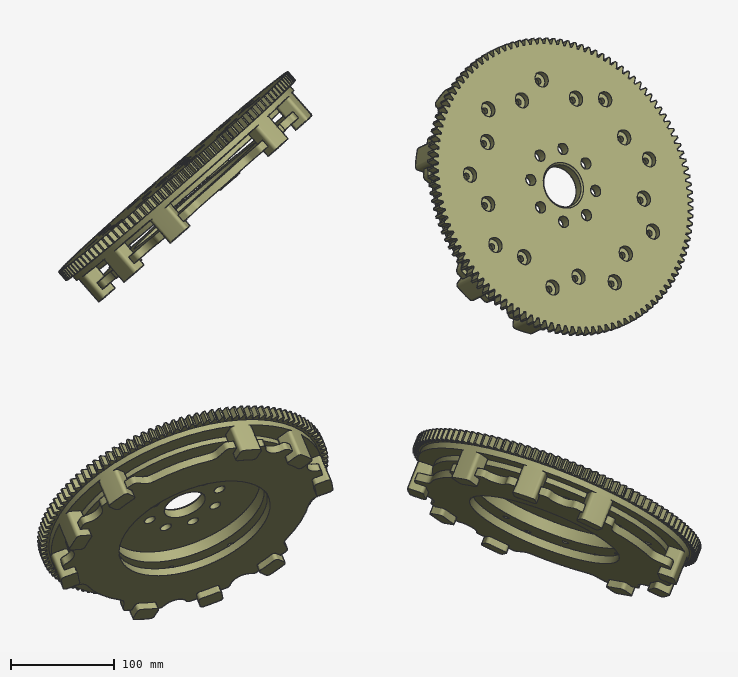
import cadquery as cq
import math

TILT = 45

TOOTH_COUNT = 115
TIP_RADIUS = 147.2
ROOT_RADIUS = 141.5
TIP_WIDTH = 2.0
ROOT_WIDTH = 6.2
TOOTH_PHASE = 0.7
GEAR_THICKNESS = 11.0
GEAR_BORE = 42.0
BORE_CHAMFER = 1.8

HUB_HOLE_DIAMETER = 11.2
HUB_HOLE_COUNT = 8
HUB_HOLE_RADIUS = 36.8
HUB_HOLE_PHASE = 7.8

SCREW_COUNT = 9
OUTER_SCREW_RADIUS = 106.0
OUTER_SCREW_PHASE = 15.5
INNER_SCREW_RADIUS = 91.3
INNER_SCREW_PHASE = 33.0
SCREW_HEAD_DIAMETER = 15.0
SCREW_HEAD_DEPTH = 6.5
SCREW_HOLE_DIAMETER = 6.2

RIM_DIAMETER = 279.0
RIM_THICKNESS = 6.5
STEP_DIAMETER = 245.0
STEP_THICKNESS = 5.5
CARRIER_BORE = 154.8
LEG_BOTTOM = -46.5
LEG_WIDTH = 23.5
LEG_FILLET = 3.5
GROUP_COUNT = 3
GROUP_PHASE = 14.9
LEG_SPACING = 30

PLATE_TOP = -31.0
PLATE_THICKNESS = 8.2
PLATE_BORE = 155.0
PLATE_RADIUS = 119.2
PAD_RADIUS = 133.3
PAD_WIDTH = 43.0
PAD_SIDE_TILT = 20
PAD_FILLET = 4.7
PAD_DEPTH_IN_PLATE = 8.8
PAD_ROOT_FILLET = 10.0
VALLEY_FLOOR_RADIUS = 125.0

RIM_TOP = -GEAR_THICKNESS
STEP_TOP = RIM_TOP - RIM_THICKNESS
STEP_BOTTOM = STEP_TOP - STEP_THICKNESS
PLATE_BOTTOM = PLATE_TOP - PLATE_THICKNESS
PAD_ROOT_RADIUS = PLATE_RADIUS - PAD_DEPTH_IN_PLATE
GROUP_ANGLES = [GROUP_PHASE + 360 * i / GROUP_COUNT for i in range(GROUP_COUNT)]
PAD_SIDE_DISTANCE = (
    PAD_RADIUS * math.sin(math.radians(PAD_SIDE_TILT))
    + PAD_WIDTH / 2 * math.cos(math.radians(PAD_SIDE_TILT))
)
LEG_ANGLES = [middle + turn for middle in GROUP_ANGLES for turn in (-LEG_SPACING, 0, LEG_SPACING)]
VALLEY_ANGLES = [middle + side * LEG_SPACING / 2 for middle in GROUP_ANGLES for side in (-1, 1)]


def level(height):
    """Horizontal work plane at a height along the gear axis."""
    return cq.Workplane("XY", origin=(0, 0, height))


def polar_points(radius, count, phase):
    """Points evenly spread on a circle, the first one at the phase angle."""
    angles = [math.radians(phase + 360 * i / count) for i in range(count)]
    return [(radius * math.cos(a), radius * math.sin(a)) for a in angles]


def screw_points():
    return (
        polar_points(OUTER_SCREW_RADIUS, SCREW_COUNT, OUTER_SCREW_PHASE)
        + polar_points(INNER_SCREW_RADIUS, SCREW_COUNT, INNER_SCREW_PHASE)
    )


def tooth_outline():
    """Closed outline of the gear: four corners for every tooth."""
    points = []
    for i in range(TOOTH_COUNT):
        middle = math.radians(TOOTH_PHASE) + 2 * math.pi * i / TOOTH_COUNT
        corners = (
            (ROOT_RADIUS, -ROOT_WIDTH),
            (TIP_RADIUS, -TIP_WIDTH),
            (TIP_RADIUS, TIP_WIDTH),
            (ROOT_RADIUS, ROOT_WIDTH),
        )
        for radius, width in corners:
            angle = middle + width / 2 / radius
            points.append((radius * math.cos(angle), radius * math.sin(angle)))
    return points


def drilling(points, diameter, top, depth):
    """Upright cylinders that drill holes down from a height."""
    return level(top).pushPoints(points).circle(diameter / 2).extrude(-depth)


def make_gear():
    gear = level(-GEAR_THICKNESS).polyline(tooth_outline()).close().extrude(GEAR_THICKNESS)
    bore_mouth = level(0).circle(GEAR_BORE / 2 + BORE_CHAMFER).extrude(-BORE_CHAMFER, taper=45)
    hub_points = polar_points(HUB_HOLE_RADIUS, HUB_HOLE_COUNT, HUB_HOLE_PHASE)
    return (
        gear.cut(drilling([(0, 0)], GEAR_BORE, 0, GEAR_THICKNESS))
        .cut(bore_mouth)
        .cut(drilling(hub_points, HUB_HOLE_DIAMETER, 0, GEAR_THICKNESS))
        .cut(drilling(screw_points(), SCREW_HEAD_DIAMETER, 0, SCREW_HEAD_DEPTH))
        .cut(drilling(screw_points(), SCREW_HOLE_DIAMETER, 0, GEAR_THICKNESS))
    )


def leg_column(angle, top, bottom):
    """A leg between two heights: a piece of the rim outside the step, with rounded upright edges."""
    height = top - bottom
    rim_beyond_step = level(bottom).circle(RIM_DIAMETER / 2).circle(STEP_DIAMETER / 2).extrude(height)
    leg = (
        level(bottom)
        .center(RIM_DIAMETER / 2, 0)
        .rect(RIM_DIAMETER / 2, LEG_WIDTH)
        .extrude(height)
        .intersect(rim_beyond_step)
        .edges("|Z")
        .fillet(LEG_FILLET)
    )
    return leg.rotate((0, 0, 0), (0, 0, 1), angle)


def make_carrier():
    carrier = level(STEP_TOP).circle(RIM_DIAMETER / 2).extrude(RIM_THICKNESS)
    carrier = carrier.union(level(STEP_BOTTOM).circle(STEP_DIAMETER / 2).extrude(STEP_THICKNESS))
    for angle in LEG_ANGLES:
        carrier = carrier.union(leg_column(angle, STEP_TOP, LEG_BOTTOM))
    height = RIM_TOP - STEP_BOTTOM
    return (
        carrier.cut(drilling([(0, 0)], CARRIER_BORE, RIM_TOP, height))
        .cut(drilling(screw_points(), SCREW_HOLE_DIAMETER, RIM_TOP, height))
    )


def pad_half_width(radius):
    """Distance from a pad's centreline to its leaning side at a distance from the axis."""
    return PAD_WIDTH / 2 + (PAD_RADIUS - radius) * math.tan(math.radians(PAD_SIDE_TILT))


def plate_pad(angle):
    """Pad of the plate around one leg, reaching out past the plate's round edge."""
    pad = (
        level(PLATE_BOTTOM)
        .polyline([
            (PAD_ROOT_RADIUS, -pad_half_width(PAD_ROOT_RADIUS)),
            (PAD_RADIUS, -PAD_WIDTH / 2),
            (PAD_RADIUS, PAD_WIDTH / 2),
            (PAD_ROOT_RADIUS, pad_half_width(PAD_ROOT_RADIUS)),
        ])
        .close()
        .extrude(PLATE_THICKNESS)
        .edges("|Z and >X")
        .fillet(PAD_FILLET)
    )
    return pad.rotate((0, 0, 0), (0, 0, 1), angle)


def plate_valley(angle):
    """Web between two neighbouring pads, hollowed by an arc tangent to both pad sides."""
    half_gap = math.radians(LEG_SPACING / 2)
    side_normal = math.radians(90 - PAD_SIDE_TILT) - half_gap
    centre = (VALLEY_FLOOR_RADIUS - PAD_SIDE_DISTANCE) / (1 - math.cos(side_normal))
    radius = centre - VALLEY_FLOOR_RADIUS
    tangent_x = centre - radius * math.cos(side_normal)
    tangent_y = radius * math.sin(side_normal)
    return (
        level(PLATE_BOTTOM)
        .transformed(rotate=(0, 0, angle))
        .moveTo(PAD_ROOT_RADIUS, 0)
        .lineTo(tangent_x, -tangent_y)
        .threePointArc((VALLEY_FLOOR_RADIUS, 0), (tangent_x, tangent_y))
        .close()
        .extrude(PLATE_THICKNESS)
    )


def pad_root_corner(angle, side):
    """Point half way up the edge where one side of a pad meets the plate's round edge."""
    side_normal = math.radians(90 - PAD_SIDE_TILT)
    turn = side_normal - math.acos(PAD_SIDE_DISTANCE / PLATE_RADIUS)
    direction = math.radians(angle) + side * turn
    return (
        PLATE_RADIUS * math.cos(direction),
        PLATE_RADIUS * math.sin(direction),
        (PLATE_TOP + PLATE_BOTTOM) / 2,
    )


def make_plate():
    plate = level(PLATE_BOTTOM).circle(PLATE_RADIUS).extrude(PLATE_THICKNESS)
    for angle in LEG_ANGLES:
        plate = plate.union(plate_pad(angle))
    for middle in GROUP_ANGLES:
        for side in (-1, 1):
            corner = pad_root_corner(middle + side * LEG_SPACING, side)
            plate = plate.edges(cq.NearestToPointSelector(corner)).fillet(PAD_ROOT_FILLET)
    for angle in VALLEY_ANGLES:
        plate = plate.union(plate_valley(angle))
    for angle in LEG_ANGLES:
        plate = plate.cut(leg_column(angle, PLATE_TOP, PLATE_BOTTOM))
    return plate.cut(drilling([(0, 0)], PLATE_BORE, PLATE_TOP, PLATE_THICKNESS))


def tilted(body):
    """The body swung about Y so that the gear axis leans toward -X."""
    return body.rotate((0, 0, 0), (0, 1, 0), -TILT)


gear = tilted(make_gear())
carrier = tilted(make_carrier())
plate = tilted(make_plate())

result = cq.Compound.makeCompound([gear.val(), carrier.val(), plate.val()])